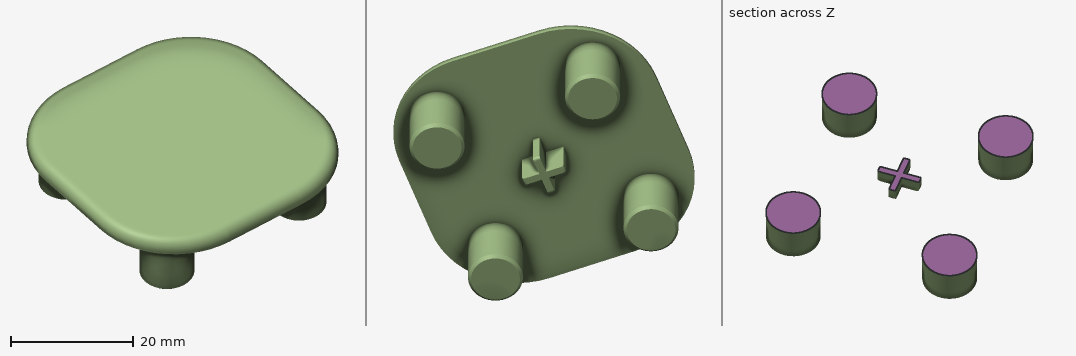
import cadquery as cq

plate_size = 45.0
plate_thickness = 2.5
plate_corner_radius = 15.0
plate_edge_radius = 2.0

peg_diameter = 9.0
peg_length = 10.0
peg_spacing = 27.18
peg_chamfer = 0.5

stem_diameter = 7.3
stem_rib_thickness = 1.2
stem_length = 6.0
stem_edge_radius = 0.5


def make_plate():
    """Rounded-square plate with its top edge filleted."""
    return (
        cq.Workplane("XY")
        .rect(plate_size, plate_size)
        .extrude(plate_thickness)
        .edges("|Z")
        .fillet(plate_corner_radius)
        .faces(">Z")
        .edges()
        .fillet(plate_edge_radius)
    )


def make_pegs():
    """Four pegs on a square pattern, chamfered at their free ends."""
    return (
        cq.Workplane("XY")
        .rect(peg_spacing, peg_spacing, forConstruction=True)
        .vertices()
        .circle(peg_diameter / 2)
        .extrude(-peg_length)
        .faces("<Z")
        .edges()
        .chamfer(peg_chamfer)
    )


def make_stem():
    """Two crossed ribs whose ends follow a cylinder with a rounded lower rim."""
    envelope = (
        cq.Workplane("XY")
        .circle(stem_diameter / 2)
        .extrude(-stem_length)
        .faces("<Z")
        .edges()
        .fillet(stem_edge_radius)
    )
    rib_along_x = cq.Workplane("XY").rect(stem_diameter, stem_rib_thickness).extrude(-stem_length)
    rib_along_y = cq.Workplane("XY").rect(stem_rib_thickness, stem_diameter).extrude(-stem_length)
    return envelope.intersect(rib_along_x.union(rib_along_y))


result = make_plate().union(make_pegs()).union(make_stem())